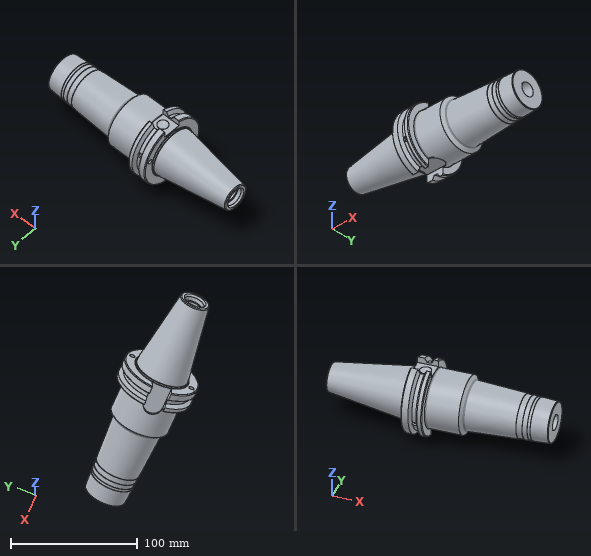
import cadquery as cq
import math

total_length = 188.2
edge_chamfer = 0.5

taper_length = 68.1
taper_slope = 7 / 48
taper_large_radius = 22.2
taper_small_radius = taper_large_radius - taper_length * taper_slope
taper_end_chamfer = 0.8
relief_radius = 43.9 / 2
relief_chamfer_length = 0.5

gripper_half_angle = 30.0
flange_start = 69.5
flange_end = 87.2
flange_radius = 31.6
flange_chamfer = 0.8
gripper_center = 79.5
gripper_width = 7.5
gripper_depth = 3.5
gripper_floor_radius = flange_radius - gripper_depth
gripper_wall_run = gripper_depth * math.tan(math.radians(gripper_half_angle))
gripper_floor_width = gripper_width - 2 * gripper_wall_run
face_groove_radius = 23.2
face_groove_depth = 0.5

body_radius = 49.5 / 2
collar_radius = 25.0
collar_length = 1.0
body_end = 115.8
shoulder_length = 2.8

nose_start = body_end + shoulder_length
nose_start_radius = 20.9
nose_fillet = 1.0
nose_half_angle = 3.0
nose_slope = math.tan(math.radians(nose_half_angle))
ring_groove_depth = 0.4
ring_grooves = ((161.7, 166.8), (171.0, 173.4))

drill_tip_half_angle = 59.0

slot_width = 16.2
upper_slot_height = collar_radius
lower_slot_height = 22.8
lower_slot_end = 95.6
slot_dimple_radius = 9.6 / 2

bore_radius = 13.0 / 2
counterbore_radius = 16.4 / 2
counterbore_depth = 5.5
counterbore_mouth_radius = 9.2
counterbore_mouth_length = 1.9

hole_pair_angle = 20.0
face_hole_circle_radius = 27.0
face_hole_radius = 4.1 / 2
face_hole_depth = 5.6
groove_hole_radius = 4.0 / 2
groove_hole_depth = 1.9


def nose_radius(x):
    return nose_start_radius - (x - nose_start) * nose_slope


def drill_tip_depth(radius):
    return radius / math.tan(math.radians(drill_tip_half_angle))


def revolve_about_x(outline):
    return outline.close().revolve(360, (0, 0, 0), (1, 0, 0))


def turned_outside():
    groove_half = gripper_width / 2
    floor_half = gripper_floor_width / 2
    chamfered_radius = flange_radius - flange_chamfer
    outline = (
        cq.Workplane("XY")
        .lineTo(0, taper_small_radius - taper_end_chamfer)
        .lineTo(taper_end_chamfer, taper_small_radius + taper_end_chamfer * taper_slope)
        .lineTo(taper_length, taper_large_radius)
        .lineTo(taper_length + relief_chamfer_length, relief_radius)
        .lineTo(flange_start + face_groove_depth, relief_radius)
        .lineTo(flange_start + face_groove_depth, face_groove_radius - face_groove_depth)
        .lineTo(flange_start, face_groove_radius)
        .lineTo(flange_start, chamfered_radius)
        .lineTo(flange_start + flange_chamfer, flange_radius)
        .lineTo(gripper_center - groove_half, flange_radius)
        .lineTo(gripper_center - floor_half, gripper_floor_radius)
        .lineTo(gripper_center + floor_half, gripper_floor_radius)
        .lineTo(gripper_center + groove_half, flange_radius)
        .lineTo(flange_end - flange_chamfer, flange_radius)
        .lineTo(flange_end, chamfered_radius)
        .lineTo(flange_end, collar_radius)
        .lineTo(flange_end + collar_length, body_radius)
        .lineTo(body_end, body_radius)
        .lineTo(nose_start, nose_start_radius)
    )
    for groove_start, groove_end in ring_grooves:
        outline = (
            outline.lineTo(groove_start, nose_radius(groove_start))
            .lineTo(groove_start, nose_radius(groove_start) - ring_groove_depth)
            .lineTo(groove_end, nose_radius(groove_end) - ring_groove_depth)
            .lineTo(groove_end, nose_radius(groove_end))
        )
    chamfer_start = total_length - edge_chamfer
    outline = (
        outline.lineTo(chamfer_start, nose_radius(chamfer_start))
        .lineTo(total_length, nose_radius(total_length) - edge_chamfer)
        .lineTo(total_length, 0)
    )
    turned = revolve_about_x(outline)
    shoulder_corner = cq.selectors.BoxSelector(
        (nose_start - nose_fillet, -nose_fillet, -nose_fillet),
        (nose_start + nose_fillet, nose_fillet, nose_fillet),
    )
    return turned.edges(shoulder_corner).fillet(nose_fillet)


def stepped_bore():
    outline = (
        cq.Workplane("XY")
        .lineTo(0, counterbore_mouth_radius)
        .lineTo(counterbore_mouth_length, counterbore_radius)
        .lineTo(counterbore_depth, counterbore_radius)
        .lineTo(counterbore_depth, bore_radius)
        .lineTo(total_length, bore_radius)
        .lineTo(total_length, 0)
    )
    return revolve_about_x(outline)


def drilled_hole(radius, depth, mouth, direction):
    """Cylindrical hole with a conical bottom, starting at the mouth point."""
    start = cq.Vector(*mouth)
    axis = cq.Vector(*direction)
    shaft = cq.Solid.makeCylinder(radius, depth, start, axis)
    tip = cq.Solid.makeCone(radius, 0, drill_tip_depth(radius), start + axis * depth, axis)
    return cq.Workplane(shaft).union(cq.Workplane(tip))


def upper_slot():
    """Straight slot through the flange with a conical dimple in its floor."""
    slot = cq.Workplane("XY").box(
        flange_end - flange_start,
        slot_width,
        flange_radius,
        centered=(False, True, False),
    ).translate((flange_start, 0, upper_slot_height))
    dimple = cq.Solid.makeCone(
        slot_dimple_radius,
        0,
        drill_tip_depth(slot_dimple_radius),
        pnt=cq.Vector(gripper_center, 0, upper_slot_height),
        dir=cq.Vector(0, 0, -1),
    )
    return slot.union(cq.Workplane(dimple))


def lower_slot():
    """Deeper slot that runs out into the body with a half-round end."""
    end_center = lower_slot_end - slot_width / 2
    return (
        cq.Workplane("XY", origin=(0, 0, -lower_slot_height))
        .moveTo(flange_start, -slot_width / 2)
        .lineTo(end_center, -slot_width / 2)
        .threePointArc((lower_slot_end, 0), (end_center, slot_width / 2))
        .lineTo(flange_start, slot_width / 2)
        .close()
        .extrude(-flange_radius)
    )


def flange_hole_pair():
    """A hole in the flange face and one in the gripper groove, both beside +Y."""
    face_hole = drilled_hole(
        face_hole_radius,
        face_hole_depth,
        (flange_start, face_hole_circle_radius, 0),
        (1, 0, 0),
    )
    groove_hole = drilled_hole(
        groove_hole_radius,
        flange_radius - gripper_floor_radius + groove_hole_depth,
        (gripper_center, flange_radius, 0),
        (0, -1, 0),
    )
    return face_hole.union(groove_hole)


result = turned_outside().cut(stepped_bore()).cut(upper_slot()).cut(lower_slot())
for turn in (hole_pair_angle, hole_pair_angle + 180):
    result = result.cut(flange_hole_pair().rotate((0, 0, 0), (1, 0, 0), turn))